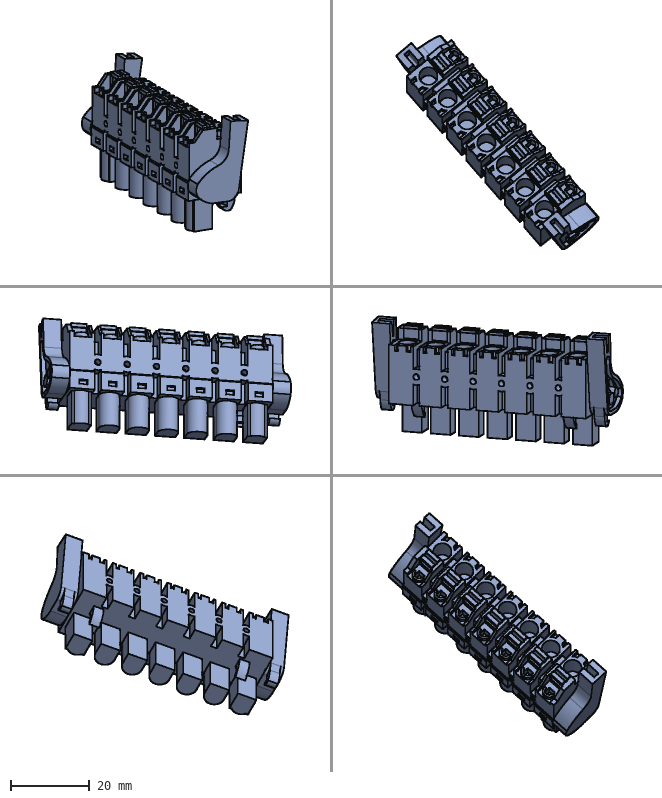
import cadquery as cq
import math


POLES = 7
PITCH = 7.62
TOTAL_LENGTH = 62.16
LEVER_WIDTH = 4.71
HOUSING_LENGTH = TOTAL_LENGTH - 2 * LEVER_WIDTH
POLE_X = [PITCH * (i - (POLES - 1) / 2) for i in range(POLES)]
GAP_X = [x + PITCH / 2 for x in POLE_X[:-1]]
END_POLES = (POLE_X[0], POLE_X[-1])
GAP_WIDTH = 1.7

FRONT_Y = 0.52
BACK_Y = 15.31
BASE_Z = 8.76
SHOULDER_Z = 24.05
TOWER_Z = 27.0
TOWER_BACK_Y = 8.45
TOWER_FRONT_Y = 4.3
SLOPE_FOOT_Y = 1.95

BRIDGE_Z = 22.57
NOTCH_DEPTH = 3.1
CROSS_HOLE_Z = 16.2
CROSS_HOLE_D = 1.5
CROSS_BOSS_D = 4.2

TAB_FRONT_Y = 0.2
TAB_TOP_Z = 13.78
TAB_SLOPE_HEIGHT = FRONT_Y - TAB_FRONT_Y
WINDOW_WIDTH = 2.1
WINDOW_HEIGHT = 1.2
WINDOW_Z = 10.6
WINDOW_DEPTH = 1.0

WELL_WIDTH = 4.53
WELL_BACK_Y = 5.07
WELL_FLOOR_Z = 22.73
POCKET_FLOOR_Z = 24.4
BUTTON_WIDTH = 4.05
BUTTON_BACK_Y = 8.25

RING_Y = 2.62
RING_OUTER_R = 1.75
RING_INNER_R = 1.15
TEST_SLOT_WIDTH = 1.95
TEST_SLOT_BACK_Y = 3.6
TEST_SLOT_DEPTH = 3.0

WIRE_HOLE_D = 4.6
WIRE_HOLE_Y = 11.08
WIRE_HOLE_DEPTH = 8.0
WIRE_COLLAR_R = 3.2
REAR_SLOT_DEPTH = 1.5
REAR_SLOTS = ((-2.3, -1.15), (1.1, 1.95))

PIN_R = 2.66
PIN_Y = 4.2
PIN_BACK_Y = 7.56
END_PIN_WIDTH = 5.15
END_PIN_FRONT_Y = 2.35

HOOK_WIDTH = 2.74
HOOK_BACK_Y = 11.6
HOOK_ROOT_Y = 8.8
HOOK_STEM_Y = 9.35
HOOK_TIP = (8.85, 4.45)
LATCH_X = 20.34

BUTTON_TOP_Z = 27.68
RIB_FRONT_Z = 26.7
RIB_OVERHANG = 0.6
GROOVE_FRONT_Y = 6.25
GROOVE_BACK_Y = 7.1
GROOVE_AXIS_Z = 26.6

LEVER_TOP_FRONT = (9.81, 29.96)
LEVER_TOP_BACK = (14.86, 29.4)
LEVER_BACK_FOOT = (12.1, 11.1)
LEVER_NECK = (9.3, 22.2)
LEVER_RIM = 1.05
LEVER_RECESS_DEPTH = 1.2
RECESS_TOP_Z = 24.5
RECESS_TOP_R = 1.05
GRIP_SLOT_LENGTH = 3.63
GRIP_MOUTH_BACK_Y = 13.15
GRIP_FRONT_Y = 11.5
GRIP_ROUND_Z = 25.9
GRIP_BOTTOM = (11.95, 25.55)
LUG_INSET = 0.94
LUG_FRONT_Y = 9.4
LUG_TIP_Y = 7.9
LUG_ROOT_Z = 9.3
LUG_BARB_Z = 7.05
PIVOT_AT = (8.2, 12.75)
PIVOT_R = 1.82
PIVOT_CORE_R = 1.58
PIVOT_FLATS = 2.46
CAM_ARC_R = 3.76
CAM_SLOT_R = 1.42
CAM_SLOT_DEPTH = 1.2
STUD_ANGLE = 13.8
CAM_END_ANGLE = 66.5
STUD_R = 1.35
BOSS_HEIGHT = 1.0


def box(x, y, z):
    """Box spanning the given (low, high) pairs."""
    size = (x[1] - x[0], y[1] - y[0], z[1] - z[0])
    return cq.Workplane("XY").box(*size, centered=False).translate((x[0], y[0], z[0]))


def centred(x, width):
    """(low, high) pair of the given width about x."""
    return (x - width / 2, x + width / 2)


def upright(x, y, radius, z):
    """Vertical cylinder between the two heights of z."""
    return cq.Workplane("XY", origin=(x, y, z[0])).circle(radius).extrude(z[1] - z[0])


def side_profile(points, x):
    """Prism along X over a closed (y, z) polygon."""
    return cq.Workplane("YZ", origin=(x[0], 0, 0)).polyline(points).close().extrude(x[1] - x[0])


def housing_block():
    section = [
        (FRONT_Y, BASE_Z),
        (FRONT_Y, SHOULDER_Z),
        (SLOPE_FOOT_Y, SHOULDER_Z),
        (TOWER_FRONT_Y, TOWER_Z),
        (TOWER_BACK_Y, TOWER_Z),
        (TOWER_BACK_Y, SHOULDER_Z),
        (BACK_Y, SHOULDER_Z),
        (BACK_Y, BASE_Z),
    ]
    return side_profile(section, centred(0, HOUSING_LENGTH))


def front_tabs():
    """Raised band along the lower front, with a sloping top edge."""
    section = [
        (FRONT_Y, BASE_Z),
        (TAB_FRONT_Y, BASE_Z),
        (TAB_FRONT_Y, TAB_TOP_Z - TAB_SLOPE_HEIGHT),
        (FRONT_Y, TAB_TOP_Z),
    ]
    return side_profile(section, centred(0, HOUSING_LENGTH))


def tab_window(x):
    depth = (TAB_FRONT_Y, TAB_FRONT_Y + WINDOW_DEPTH)
    return box(centred(x, WINDOW_WIDTH), depth, centred(WINDOW_Z, WINDOW_HEIGHT))


def gap_cut(x):
    """Space between two cells: open above the bridge and notched at both faces around a round boss."""
    width = centred(x, GAP_WIDTH)
    cut = box(width, (0, BACK_Y), (BRIDGE_Z, TOWER_Z))
    for y in ((0, FRONT_Y + NOTCH_DEPTH), (BACK_Y - NOTCH_DEPTH, BACK_Y)):
        cut = cut.union(box(width, y, (BASE_Z, BRIDGE_Z)))
    axis = cq.Workplane("XZ", origin=(x, BACK_Y, CROSS_HOLE_Z))
    boss = axis.circle(CROSS_BOSS_D / 2).extrude(BACK_Y - FRONT_Y)
    hole = axis.circle(CROSS_HOLE_D / 2).extrude(BACK_Y - FRONT_Y)
    hole = hole.cut(box(width, (FRONT_Y + NOTCH_DEPTH, BACK_Y - NOTCH_DEPTH), (BASE_Z, BRIDGE_Z)))
    return cut.cut(boss).union(hole)


def button_pocket(x):
    """Well open to the front, with the narrower pocket of the button behind it."""
    well = box(centred(x, WELL_WIDTH), (0, WELL_BACK_Y), (WELL_FLOOR_Z, TOWER_Z))
    pocket = box(centred(x, BUTTON_WIDTH), (WELL_BACK_Y, BUTTON_BACK_Y), (POCKET_FLOOR_Z, TOWER_Z))
    return well.union(pocket)


def test_ring(x):
    """Half ring standing on the floor of the well."""
    height = (WELL_FLOOR_Z, SHOULDER_Z)
    ring = upright(x, RING_Y, RING_OUTER_R, height).cut(upright(x, RING_Y, RING_INNER_R, height))
    return ring.intersect(box(centred(x, WELL_WIDTH), (FRONT_Y, RING_Y), height))


def test_slot(x):
    """Opening in the well floor, straight at the back and round inside the half ring."""
    depth = (WELL_FLOOR_Z - TEST_SLOT_DEPTH, WELL_FLOOR_Z)
    straight = box(centred(x, TEST_SLOT_WIDTH), (RING_Y - RING_INNER_R, TEST_SLOT_BACK_Y), depth)
    round_end = upright(x, RING_Y, RING_INNER_R, depth)
    behind_ring = box(centred(x, TEST_SLOT_WIDTH), (RING_Y, TEST_SLOT_BACK_Y), depth)
    return straight.intersect(round_end).union(behind_ring)


def wire_entry(x):
    """Round wire hole, and two slots from the back that stop at a collar around it."""
    cut = upright(x, WIRE_HOLE_Y, WIRE_HOLE_D / 2, (SHOULDER_Z - WIRE_HOLE_DEPTH, SHOULDER_Z))
    height = (SHOULDER_Z - REAR_SLOT_DEPTH, SHOULDER_Z)
    collar = upright(x, WIRE_HOLE_Y, WIRE_COLLAR_R, height)
    for left, right in REAR_SLOTS:
        slot = box((x + left, x + right), (WIRE_HOLE_Y, BACK_Y), height)
        cut = cut.union(slot.cut(collar))
    return cut


def contact_pin(x):
    """Pin with a round front; the end pins are squared off at the sides."""
    height = (0, BASE_Z)
    pin = upright(x, PIN_Y, PIN_R, height).union(box(centred(x, 2 * PIN_R), (PIN_Y, PIN_BACK_Y), height))
    if x in END_POLES:
        width = centred(x, END_PIN_WIDTH)
        pin = pin.intersect(box(width, (0, PIN_BACK_Y), height))
        pin = pin.union(box(width, (END_PIN_FRONT_Y, PIN_BACK_Y), height))
    return pin


def latch_hook(x):
    """Downward hook behind the pins, its barb pointing to the front."""
    return (
        cq.Workplane("YZ", origin=(x[0], 0, 0))
        .moveTo(HOOK_BACK_Y, BASE_Z)
        .lineTo(HOOK_ROOT_Y, BASE_Z)
        .lineTo(HOOK_STEM_Y, 7.6)
        .lineTo(HOOK_STEM_Y, 6.0)
        .lineTo(8.6, 5.4)
        .lineTo(*HOOK_TIP)
        .threePointArc((10.4, 6.0), (HOOK_BACK_Y, BASE_Z))
        .close()
        .extrude(x[1] - x[0])
    )


housing = housing_block().union(front_tabs())
for gap in GAP_X:
    housing = housing.cut(gap_cut(gap))
for pole in POLE_X:
    housing = housing.cut(tab_window(pole)).cut(button_pocket(pole)).cut(wire_entry(pole))
    housing = housing.union(test_ring(pole)).cut(test_slot(pole)).union(contact_pin(pole))
for side in (-1, 1):
    housing = housing.union(latch_hook(centred(side * LATCH_X, HOOK_WIDTH)))


def push_button(x):
    """Block with two ribs on top; the front rib overhangs the face below it."""
    section = [
        (BUTTON_BACK_Y, POCKET_FLOOR_Z),
        (BUTTON_BACK_Y, BUTTON_TOP_Z),
        (WELL_BACK_Y, BUTTON_TOP_Z),
        (WELL_BACK_Y, RIB_FRONT_Z),
        (WELL_BACK_Y + RIB_OVERHANG, RIB_FRONT_Z),
        (WELL_BACK_Y + RIB_OVERHANG, POCKET_FLOOR_Z),
    ]
    width = centred(x, BUTTON_WIDTH)
    radius = (GROOVE_BACK_Y - GROOVE_FRONT_Y) / 2
    middle_y = (GROOVE_FRONT_Y + GROOVE_BACK_Y) / 2
    axis = cq.Workplane("YZ", origin=(width[0], middle_y, GROOVE_AXIS_Z))
    round_bottom = axis.circle(radius).extrude(BUTTON_WIDTH)
    groove = box(width, (GROOVE_FRONT_Y, GROOVE_BACK_Y), (GROOVE_AXIS_Z, BUTTON_TOP_Z))
    groove = groove.union(round_bottom)
    return side_profile(section, width).cut(groove)


buttons = [push_button(pole) for pole in POLE_X]


def lever_outline(plane):
    """Closed lever outline: straight handle running into a rounded, pointed foot."""
    return (
        plane.moveTo(*LEVER_TOP_BACK)
        .lineTo(*LEVER_TOP_FRONT)
        .lineTo(*LEVER_NECK)
        .threePointArc((8.5, 20.3), (6.35, 18.72))
        .tangentArcPoint((0.4, 14.6), relative=False)
        .threePointArc((0, 12.75), (0.4, 11.26))
        .threePointArc((2.3, 9.7), (5.6, BASE_Z))
        .lineTo(9.7, BASE_Z)
        .threePointArc((11.2, 9.6), LEVER_BACK_FOOT)
        .close()
    )


def grip_slot(plane):
    """Tapering slot in the handle end with a round bottom."""
    return (
        plane.moveTo(GRIP_MOUTH_BACK_Y, LEVER_TOP_FRONT[1])
        .lineTo(12.4, GRIP_ROUND_Z)
        .threePointArc(GRIP_BOTTOM, (GRIP_FRONT_Y, GRIP_ROUND_Z))
        .lineTo(GRIP_FRONT_Y, LEVER_TOP_FRONT[1])
        .close()
        .extrude(GRIP_SLOT_LENGTH)
    )


def lever_lug(plane):
    """Hook below the lever foot."""
    return (
        plane.moveTo(*LEVER_BACK_FOOT)
        .lineTo(LUG_FRONT_Y, LUG_ROOT_Z)
        .lineTo(LUG_FRONT_Y, LUG_BARB_Z)
        .lineTo(LUG_TIP_Y, LUG_BARB_Z)
        .threePointArc((8.5, 6.2), (10.3, 5.95))
        .threePointArc((11.1, 7.1), (11.55, BASE_Z))
        .close()
        .extrude(HOOK_WIDTH)
    )


def about_pivot(radius, angle):
    """Point at a radius from the pivot, its angle measured up from the front (-Y) direction."""
    turn = math.radians(angle)
    return (PIVOT_AT[0] - radius * math.cos(turn), PIVOT_AT[1] + radius * math.sin(turn))


def cam_slot(plane):
    """Arc-shaped slot about the pivot, with round ends."""
    inner = CAM_ARC_R - CAM_SLOT_R
    outer = CAM_ARC_R + CAM_SLOT_R
    middle = (STUD_ANGLE + CAM_END_ANGLE) / 2
    slot = (
        plane.moveTo(*about_pivot(inner, STUD_ANGLE))
        .threePointArc(about_pivot(inner, middle), about_pivot(inner, CAM_END_ANGLE))
        .lineTo(*about_pivot(outer, CAM_END_ANGLE))
        .threePointArc(about_pivot(outer, middle), about_pivot(outer, STUD_ANGLE))
        .close()
        .extrude(CAM_SLOT_DEPTH)
    )
    for angle in (STUD_ANGLE, CAM_END_ANGLE):
        end = plane.moveTo(*about_pivot(CAM_ARC_R, angle)).circle(CAM_SLOT_R)
        slot = slot.union(end.extrude(CAM_SLOT_DEPTH))
    return slot


def stud(plane):
    """Round stud rising from the bottom of the cam slot, at its lower end."""
    bottom = plane.workplane(offset=CAM_SLOT_DEPTH)
    outline = bottom.moveTo(*about_pivot(CAM_ARC_R, STUD_ANGLE)).circle(STUD_R)
    return outline.extrude(-CAM_SLOT_DEPTH - BOSS_HEIGHT)


def pivot_boss(plane):
    """Round core with two wider lugs that are cut flat above and below."""
    core = plane.moveTo(*PIVOT_AT).circle(PIVOT_CORE_R).extrude(-BOSS_HEIGHT)
    lugs = plane.moveTo(*PIVOT_AT).circle(PIVOT_R).extrude(-BOSS_HEIGHT)
    flats = plane.moveTo(*PIVOT_AT).rect(2 * PIVOT_R, PIVOT_FLATS).extrude(-BOSS_HEIGHT)
    return core.union(lugs.intersect(flats))


def lever():
    """Lever at the -X end; its -X face carries the recess, the bosses and the grip slot."""
    outer_x = -TOTAL_LENGTH / 2
    outer = cq.Workplane("YZ", origin=(outer_x, 0, 0))
    floor = cq.Workplane("YZ", origin=(outer_x + LEVER_RECESS_DEPTH, 0, 0))
    body = lever_outline(outer).extrude(LEVER_WIDTH)
    recess = lever_outline(outer).offset2D(-LEVER_RIM).extrude(LEVER_RECESS_DEPTH)
    below_grip = box((outer_x, outer_x + LEVER_RECESS_DEPTH), (0, BACK_Y), (0, RECESS_TOP_Z))
    recess = recess.intersect(below_grip).edges("|X and >Z").fillet(RECESS_TOP_R)
    body = body.cut(recess).cut(grip_slot(outer))
    body = body.cut(cam_slot(floor)).union(stud(floor)).union(pivot_boss(floor))
    return body.union(lever_lug(cq.Workplane("YZ", origin=(outer_x + LUG_INSET, 0, 0))))


left_lever = lever()
right_lever = left_lever.translate((TOTAL_LENGTH - LEVER_WIDTH, 0, 0))

result = cq.Compound.makeCompound(
    [housing.val(), left_lever.val(), right_lever.val(), *[button.val() for button in buttons]]
)